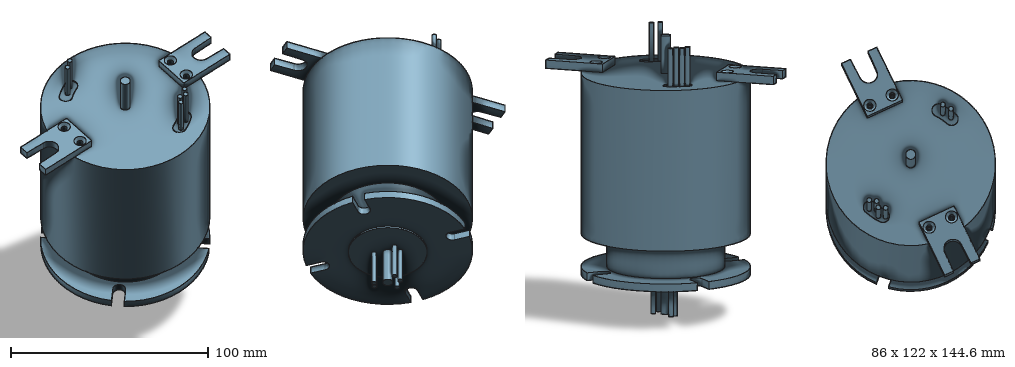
import cadquery as cq
import math

LOWER_PIN_LENGTH = 19.5
COLLAR_DIAMETER = 40.0
COLLAR_HEIGHT = 1.0
FLANGE_DIAMETER = 86.0
FLANGE_HEIGHT = 4.0
HUB_DIAMETER = 60.0
HUB_HEIGHT = 16.0
NECK_DIAMETER = 44.5
NECK_HEIGHT = 1.0
BODY_DIAMETER = FLANGE_DIAMETER
UPPER_PIN_LENGTH = 19.5
TOTAL_HEIGHT = 144.6

COLLAR_BOTTOM = LOWER_PIN_LENGTH
FLANGE_BOTTOM = COLLAR_BOTTOM + COLLAR_HEIGHT
HUB_BOTTOM = FLANGE_BOTTOM + FLANGE_HEIGHT
NECK_BOTTOM = HUB_BOTTOM + HUB_HEIGHT
BODY_BOTTOM = NECK_BOTTOM + NECK_HEIGHT
BODY_TOP = TOTAL_HEIGHT - UPPER_PIN_LENGTH

FLANGE_SLOT_WIDTH = 6.5
FLANGE_SLOT_END_RADIUS = 35.0
FLANGE_SLOT_ANGLES = (45, 135, 225, 315)

POCKET_RADIUS = 31.0
POCKET_WIDTH = 6.7
POCKET_SWEEP = 15
POCKET_DEPTH = 0.7
POCKET_ANGLES = (30, 210)

SHAFT_DIAMETER = 5.0
WIRE_DIAMETER = 2.5
UPPER_WIRES = ((23.4, 19.7), (26.6, 17.8), (26.0, 14.5), (29.2, 12.5), (-28.6, -12.7), (-25.9, -16.5))
LOWER_WIRES = ((-6.1, -1.0), (-3.9, -5.2), (1.7, -6.1), (3.5, 6.1), (5.8, 4.8))

BRACKET_REACH = 61.0
BRACKET_LENGTH = 30.5
BRACKET_WIDTH = 19.8
BRACKET_THICKNESS = 4.3
FORK_MOUTH_WIDTH = 9.8
FORK_THROAT_WIDTH = 9.3
FORK_THROAT_Y = 50.2
SCREW_SPACING = 12.6
SCREW_Y = 35.1
SCREW_CLEARANCE_DIAMETER = 3.0
SCREW_TAP_DIAMETER = 1.9
SCREW_HEAD_DIAMETER = 6.2
SCREW_HEAD_DEPTH = 1.3
SCREW_TAP_DEPTH = 4.3
DRILL_TIP_ANGLE = 118


def disc(diameter, bottom, height):
    return cq.Workplane("XY").workplane(offset=bottom).circle(diameter / 2).extrude(height)


def rods(points, diameter, bottom, top):
    """Upright round rods of one diameter centred on the given points."""
    plane = cq.Workplane("XY").workplane(offset=bottom)
    return plane.pushPoints(points).circle(diameter / 2).extrude(top - bottom)


def flange():
    plate = disc(FLANGE_DIAMETER, FLANGE_BOTTOM, FLANGE_HEIGHT)
    slot_length = FLANGE_DIAMETER / 2
    slot = (
        cq.Workplane("XY")
        .workplane(offset=FLANGE_BOTTOM)
        .center(FLANGE_SLOT_END_RADIUS + slot_length / 2, 0)
        .slot2D(slot_length + FLANGE_SLOT_WIDTH, FLANGE_SLOT_WIDTH)
        .extrude(FLANGE_HEIGHT)
    )
    for angle in FLANGE_SLOT_ANGLES:
        plate = plate.cut(slot.rotate((0, 0, 0), (0, 0, 1), angle))
    return plate


def wire_pocket(angle):
    """Shallow slot with round ends, curved about the body axis."""
    def at(radius, degrees):
        turn = math.radians(degrees)
        return (radius * math.cos(turn), radius * math.sin(turn))

    inner = POCKET_RADIUS - POCKET_WIDTH / 2
    outer = POCKET_RADIUS + POCKET_WIDTH / 2
    start = angle - POCKET_SWEEP / 2
    end = angle + POCKET_SWEEP / 2
    round_end_turn = math.degrees(POCKET_WIDTH / 2 / POCKET_RADIUS)
    return (
        cq.Workplane("XY")
        .workplane(offset=BODY_TOP - POCKET_DEPTH)
        .moveTo(*at(outer, start))
        .threePointArc(at(outer, angle), at(outer, end))
        .threePointArc(at(POCKET_RADIUS, end + round_end_turn), at(inner, end))
        .threePointArc(at(inner, angle), at(inner, start))
        .threePointArc(at(POCKET_RADIUS, start - round_end_turn), at(outer, start))
        .close()
        .extrude(POCKET_DEPTH)
    )


def body():
    housing = disc(BODY_DIAMETER, BODY_BOTTOM, BODY_TOP - BODY_BOTTOM)
    for angle in POCKET_ANGLES:
        housing = housing.cut(wire_pocket(angle))
    return housing


def bracket():
    plate = (
        cq.Workplane("XY")
        .workplane(offset=BODY_TOP)
        .center(0, BRACKET_REACH - BRACKET_LENGTH / 2)
        .rect(BRACKET_WIDTH, BRACKET_LENGTH)
        .extrude(BRACKET_THICKNESS)
    )
    throat = FORK_THROAT_WIDTH / 2
    mouth = FORK_MOUTH_WIDTH / 2
    fork = (
        cq.Workplane("XY")
        .workplane(offset=BODY_TOP)
        .moveTo(-mouth, BRACKET_REACH)
        .lineTo(-throat, FORK_THROAT_Y)
        .threePointArc((0, FORK_THROAT_Y - throat), (throat, FORK_THROAT_Y))
        .lineTo(mouth, BRACKET_REACH)
        .close()
        .extrude(BRACKET_THICKNESS)
    )
    return plate.cut(fork)


def screw_hole(x):
    """Countersunk clearance hole in the bracket above a tapping hole with a drill tip in the body."""
    top = BODY_TOP + BRACKET_THICKNESS
    tap_end = BODY_TOP - SCREW_TAP_DEPTH
    head = SCREW_HEAD_DIAMETER / 2
    clearance = SCREW_CLEARANCE_DIAMETER / 2
    tap = SCREW_TAP_DIAMETER / 2
    tip_depth = tap / math.tan(math.radians(DRILL_TIP_ANGLE / 2))
    return (
        cq.Workplane("XZ")
        .moveTo(0, top)
        .lineTo(head, top)
        .lineTo(clearance, top - SCREW_HEAD_DEPTH)
        .lineTo(clearance, BODY_TOP)
        .lineTo(tap, BODY_TOP)
        .lineTo(tap, tap_end)
        .lineTo(0, tap_end - tip_depth)
        .close()
        .revolve(360, (0, 0), (0, 1))
        .translate((x, SCREW_Y, 0))
    )


result = (
    disc(COLLAR_DIAMETER, COLLAR_BOTTOM, COLLAR_HEIGHT)
    .union(flange())
    .union(disc(HUB_DIAMETER, HUB_BOTTOM, HUB_HEIGHT))
    .union(disc(NECK_DIAMETER, NECK_BOTTOM, NECK_HEIGHT))
    .union(body())
)

for side in (0, 180):
    result = result.union(bracket().rotate((0, 0, 0), (0, 0, 1), side))
    for screw_x in (-SCREW_SPACING / 2, SCREW_SPACING / 2):
        result = result.cut(screw_hole(screw_x).rotate((0, 0, 0), (0, 0, 1), side))

result = (
    result.union(disc(SHAFT_DIAMETER, BODY_TOP, UPPER_PIN_LENGTH))
    .union(disc(SHAFT_DIAMETER, 0, LOWER_PIN_LENGTH))
    .union(rods(UPPER_WIRES, WIRE_DIAMETER, BODY_TOP - POCKET_DEPTH, TOTAL_HEIGHT))
    .union(rods(LOWER_WIRES, WIRE_DIAMETER, 0, COLLAR_BOTTOM))
)